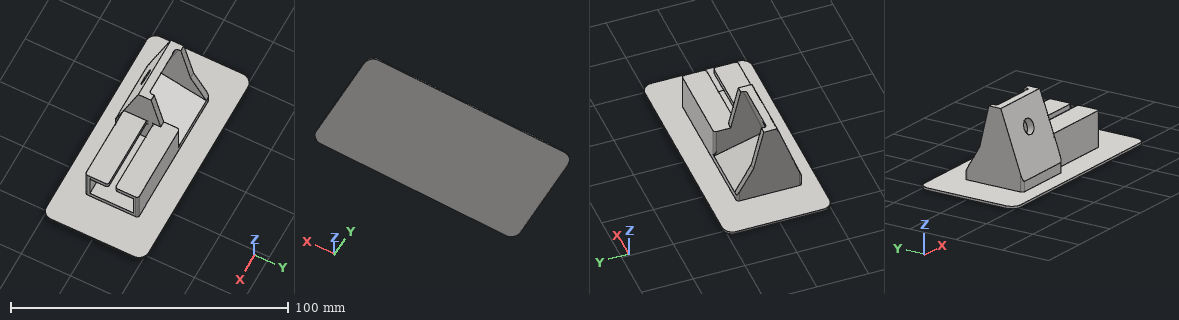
import cadquery as cq
import math

plate_length = 85.6
plate_width = 41.6
plate_thickness = 1.0
plate_corner_radius = 4.0

body_length = 55.6
body_left = -body_length / 2
body_right = body_length / 2
body_back = 10.8
corner_radius = 1.0

total_height = 31.3
block_length = 25.6
block_right = body_left + block_length
block_center = body_left + block_length / 2
block_front = -14.4
lean = math.radians(20)
top_front = -4.8
top_back = 0.4
back_bend = 4.4
back_bend_height = 14.9
back_foot_height = 3.6
front_foot_height = total_height - (top_front - block_front) / math.tan(lean)

pocket_width = 20.8
pocket_right = block_center + pocket_width / 2
front_wall = 3.0
pocket_corner_radius = 1.0
pocket_floor_slope = math.radians(16)

hole_diameter = 6
hole_height = 21.3

box_top = 15.15
box_wall = 2.0
slot_width = 2.8
slot_end_radius = 0.5


def front_face_y(height):
    """Y of the slanted front face at a given height."""
    return top_front - (total_height - height) * math.tan(lean)


def upright_box(left, right, front, back, bottom, top):
    return (
        cq.Workplane("XY", origin=((left + right) / 2, (front + back) / 2, bottom))
        .rect(right - left, back - front)
        .extrude(top - bottom)
    )


def make_plate():
    plate = cq.Workplane("XY").rect(plate_length, plate_width).extrude(plate_thickness)
    return plate.edges("|Z").fillet(plate_corner_radius)


def make_block():
    profile = [
        (block_front, 0),
        (block_front, front_foot_height),
        (top_front, total_height),
        (top_back, total_height),
        (back_bend, back_bend_height),
        (body_back, back_foot_height),
        (body_back, 0),
    ]
    wedge = cq.Workplane("YZ", origin=(body_left, 0, 0)).polyline(profile).close().extrude(block_length)
    outline = upright_box(body_left, block_right, block_front, body_back, 0, total_height)
    return wedge.intersect(outline.edges("|Z").fillet(corner_radius))


def make_pocket():
    wall_offset = front_wall / math.cos(lean)
    rim_front = top_front + wall_offset

    rise = math.tan(pocket_floor_slope)
    level_depth = body_back - (front_face_y(back_foot_height) + wall_offset)
    floor_depth = level_depth / (1 + rise * math.tan(lean))
    foot_front = body_back - floor_depth
    foot_height = back_foot_height + rise * floor_depth

    profile = [
        (rim_front, total_height),
        (foot_front, foot_height),
        (body_back, back_foot_height),
        (body_back, total_height),
    ]
    pocket = (
        cq.Workplane("YZ", origin=(block_center, 0, 0))
        .polyline(profile)
        .close()
        .extrude(pocket_width / 2, both=True)
    )
    lean_direction = cq.Vector(0, math.sin(lean), math.cos(lean))
    wall_corners = cq.selectors.ParallelDirSelector(lean_direction)
    return pocket.edges(wall_corners).fillet(pocket_corner_radius)


def make_hole():
    axis_plane = cq.Plane(
        origin=(block_center, front_face_y(hole_height), hole_height),
        xDir=(1, 0, 0),
        normal=(0, math.cos(lean), -math.sin(lean)),
    )
    return cq.Workplane(axis_plane).circle(hole_diameter / 2).extrude(2 * front_wall, both=True)


def make_channel_box():
    main = upright_box(block_right, body_right, -body_back, body_back, 0, box_top)
    main = main.edges("|Z and >X").fillet(corner_radius)
    middle = 0
    extension = upright_box(pocket_right, block_right, middle, body_back, 0, box_top)
    extension = extension.edges("|Z and <X and >Y").fillet(corner_radius)
    return main.union(extension)


def cut_channel(body):
    inner_back = body_back - box_wall
    roof_bottom = box_top - box_wall
    floor_top = plate_thickness + box_wall
    cavity = upright_box(block_right, body_right, -inner_back, inner_back, floor_top, roof_bottom)
    half_slot = slot_width / 2
    slot = upright_box(block_right, body_right, -half_slot, half_slot, roof_bottom, box_top)
    slot = slot.edges("|Z and <X").fillet(slot_end_radius)
    body = body.cut(cavity).cut(slot)

    mouth_corners = cq.selectors.BoxSelector(
        (body_right - corner_radius, -slot_width, roof_bottom),
        (body_right + corner_radius, slot_width, box_top),
    )
    return body.edges("|Z").edges(mouth_corners).fillet(corner_radius)


block = make_block().cut(make_pocket()).cut(make_hole())
body = cut_channel(block.union(make_channel_box()))
result = body.union(make_plate())